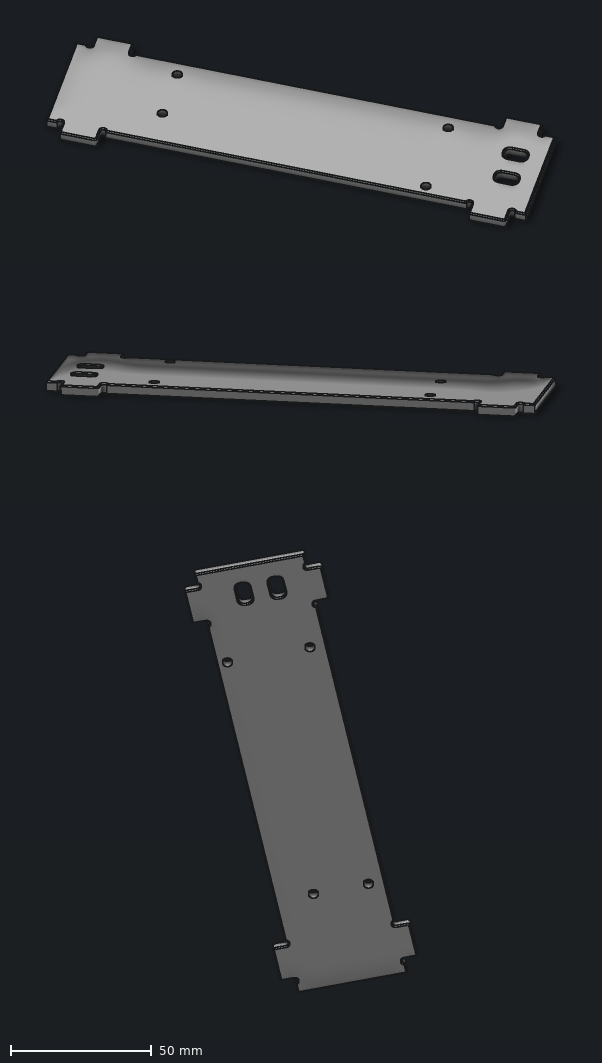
import cadquery as cq

LENGTH = 177.0
BODY_WIDTH = 40.0
THICKNESS = 4.0
EDGE_CHAMFER = 0.5

TAB_SPAN = 50.0
TAB_LENGTH = 13.8
TAB_INSET = 6.1
TAB_CORNER_RADIUS = 1.0
TAB_CENTER_X = LENGTH / 2 - TAB_INSET - TAB_LENGTH / 2

RELIEF_RADIUS = 1.0

HOLE_DIAMETER = 3.5
LEFT_HOLES_X = -LENGTH / 2 + 39.0
RIGHT_HOLES_X = LEFT_HOLES_X + 100.0
UPPER_HOLES_Y = 14.0
LEFT_LOWER_HOLE_Y = -6.0
RIGHT_LOWER_HOLE_Y = -16.0
HOLE_CENTERS = [
    (LEFT_HOLES_X, UPPER_HOLES_Y),
    (LEFT_HOLES_X, LEFT_LOWER_HOLE_Y),
    (RIGHT_HOLES_X, UPPER_HOLES_Y),
    (RIGHT_HOLES_X, RIGHT_LOWER_HOLE_Y),
]

SLOT_LENGTH = 8.5
SLOT_WIDTH = 5.0
SLOT_CORNER_RADIUS = 2.0
SLOT_X = 77.1
SLOT_PAIR_MID_Y = 1.65
SLOT_PITCH = 12.0


def plate_blank():
    """Rectangular body joined with two cross bars whose ends form the four tabs."""
    blank = cq.Workplane("XY").box(LENGTH, BODY_WIDTH, THICKNESS)
    bar = cq.Workplane("XY").box(TAB_LENGTH, TAB_SPAN, THICKNESS)
    bar = bar.edges("|Z").fillet(TAB_CORNER_RADIUS)
    for end in (-1, 1):
        blank = blank.union(bar.translate((end * TAB_CENTER_X, 0, 0)))
    return blank


def bottom_plane():
    """Workplane on the underside of the plate."""
    return cq.Workplane("XY", origin=(0, 0, -THICKNESS / 2))


def through_cylinders(centers, radius):
    """Cutters for round openings through the full thickness."""
    return bottom_plane().pushPoints(centers).circle(radius).extrude(THICKNESS)


def tab_reliefs():
    """Cutters on both flanks of each tab, centered on the long edges of the body."""
    flank_offset = TAB_LENGTH / 2 + RELIEF_RADIUS
    centers = [
        (end * TAB_CENTER_X + flank * flank_offset, side * BODY_WIDTH / 2)
        for end in (-1, 1)
        for flank in (-1, 1)
        for side in (-1, 1)
    ]
    return through_cylinders(centers, RELIEF_RADIUS)


def slots():
    """Cutters for the pair of slots, rounded at their four corners."""
    centers = [(SLOT_X, SLOT_PAIR_MID_Y + side * SLOT_PITCH / 2) for side in (-1, 1)]
    blocks = bottom_plane().pushPoints(centers).rect(SLOT_LENGTH, SLOT_WIDTH).extrude(THICKNESS)
    return blocks.edges("|Z").fillet(SLOT_CORNER_RADIUS)


plate = plate_blank().cut(tab_reliefs()).cut(slots())
plate = plate.faces("|Z").edges().chamfer(EDGE_CHAMFER)

result = plate.cut(through_cylinders(HOLE_CENTERS, HOLE_DIAMETER / 2))